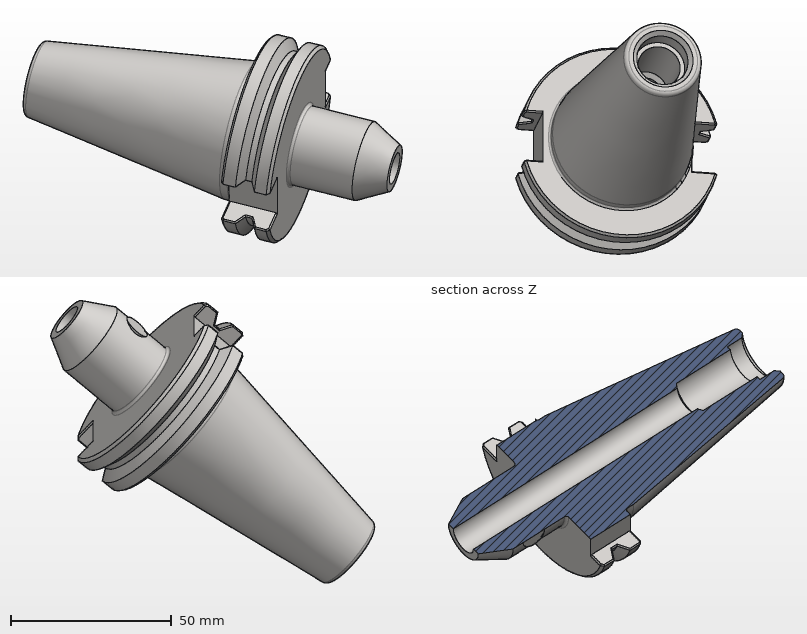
import cadquery as cq
import math

overall_length = 118.3
gauge_x = 68.3
flange_start = 71.5
flange_width = 15.9
flange_end = flange_start + flange_width
tip_cone_start = 108.6

gauge_radius = 44.5 / 2
small_end_radius = 24.3 / 2
small_end_fillet = 1.4
neck_fillet = 0.7

flange_radius = 63.4 / 2
flange_rear_chamfer = 0.7
flange_front_chamfer = 1.0
groove_center = 79.4
groove_bottom_width = 2.0
groove_depth = 3.7
groove_angle = 60.0

slot_width = 16.1
slot_edge_chamfer = 0.5
slot_floor_minus_y = 22.5
slot_floor_plus_y = 24.7

nose_radius = 25.5 / 2
nose_fillet = 1.0
tip_radius = 15.0 / 2

bore_radius = 10.0 / 2
thread_radius = 13.4 / 2
thread_end = 28.4
drill_point_angle = 118.0
counterbore_radius = 16.2 / 2
counterbore_depth = 7.0
mouth_radius = 18.9 / 2
mouth_depth = mouth_radius - counterbore_radius

screw_diameter = 8.5
screw_x = 100.3


def revolve_about_x(profile):
    return profile.close().revolve(360, (0, 0, 0), (1, 0, 0))


def make_taper():
    """Tapered shank with a short cylindrical neck that runs into the flange."""
    taper = revolve_about_x(
        cq.Workplane("XY")
        .lineTo(0, small_end_radius)
        .lineTo(gauge_x, gauge_radius)
        .lineTo(flange_start, gauge_radius)
        .lineTo(flange_start, 0)
    )
    return taper.faces("<X").edges().fillet(small_end_fillet)


def make_flange():
    """Flange disc with chamfered rims and a V-groove around it."""
    disc = cq.Workplane("YZ", origin=(flange_start, 0, 0)).circle(flange_radius).extrude(flange_width)
    disc = disc.faces("<X").edges().chamfer(flange_rear_chamfer)
    disc = disc.faces(">X").edges().chamfer(flange_front_chamfer)
    half_bottom = groove_bottom_width / 2
    half_top = half_bottom + groove_depth / math.tan(math.radians(groove_angle))
    groove = revolve_about_x(
        cq.Workplane("XY")
        .moveTo(groove_center - half_bottom, flange_radius - groove_depth)
        .lineTo(groove_center - half_top, flange_radius)
        .lineTo(groove_center + half_top, flange_radius)
        .lineTo(groove_center + half_bottom, flange_radius - groove_depth)
    )
    return disc.cut(groove)


def cut_drive_slot(flange, side, floor):
    """Cut one slot on the given Y side and chamfer its wall edges, except along the floor."""
    depth = flange_radius - floor
    slot = (
        cq.Workplane("XY")
        .box(flange_width, depth, slot_width)
        .translate((flange_start + flange_width / 2, side * (floor + depth / 2), 0))
    )
    flange = flange.cut(slot)
    margin = slot_edge_chamfer
    for wall_z in (-slot_width / 2, slot_width / 2):
        wall_box = cq.selectors.BoxSelector(
            (flange_start - margin, side * (floor + margin), wall_z - margin),
            (flange_end + margin, side * (flange_radius + margin), wall_z + margin),
        )
        flange = flange.faces(wall_box).faces("|Z").edges(wall_box).chamfer(slot_edge_chamfer)
    return flange


def make_nose():
    nose = revolve_about_x(
        cq.Workplane("XY")
        .moveTo(flange_end, 0)
        .lineTo(flange_end, nose_radius)
        .lineTo(tip_cone_start, nose_radius)
        .lineTo(overall_length, tip_radius)
        .lineTo(overall_length, 0)
    )
    return nose


def neck_ring(face_x, direction, shaft_radius, size):
    """Fillet ring between a shaft and a flange face; direction points away from the face."""
    diagonal = size * (1 - math.sqrt(0.5))
    return revolve_about_x(
        cq.Workplane("XY")
        .moveTo(face_x, shaft_radius - size)
        .lineTo(face_x, shaft_radius + size)
        .threePointArc(
            (face_x + direction * diagonal, shaft_radius + diagonal),
            (face_x + direction * size, shaft_radius),
        )
        .lineTo(face_x + direction * size, shaft_radius - size)
    )


def make_bore():
    point_length = (thread_radius - bore_radius) / math.tan(math.radians(drill_point_angle / 2))
    return revolve_about_x(
        cq.Workplane("XY")
        .lineTo(0, mouth_radius)
        .lineTo(mouth_depth, counterbore_radius)
        .lineTo(counterbore_depth, counterbore_radius)
        .lineTo(counterbore_depth, thread_radius)
        .lineTo(thread_end, thread_radius)
        .lineTo(thread_end + point_length, bore_radius)
        .lineTo(overall_length, bore_radius)
        .lineTo(overall_length, 0)
    )


def make_screw():
    """Set screw filling its radial hole on the +Y side, with a flat end level with the top of the nose."""
    return cq.Workplane("XZ", origin=(screw_x, 0, 0)).circle(screw_diameter / 2).extrude(-nose_radius)


flange = make_flange()
flange = cut_drive_slot(flange, -1, slot_floor_minus_y)
flange = cut_drive_slot(flange, 1, slot_floor_plus_y)

result = make_taper().union(flange).union(make_nose())
result = result.union(neck_ring(flange_start, -1, gauge_radius, neck_fillet))
result = result.union(neck_ring(flange_end, 1, nose_radius, nose_fillet))
result = result.union(make_screw()).cut(make_bore())